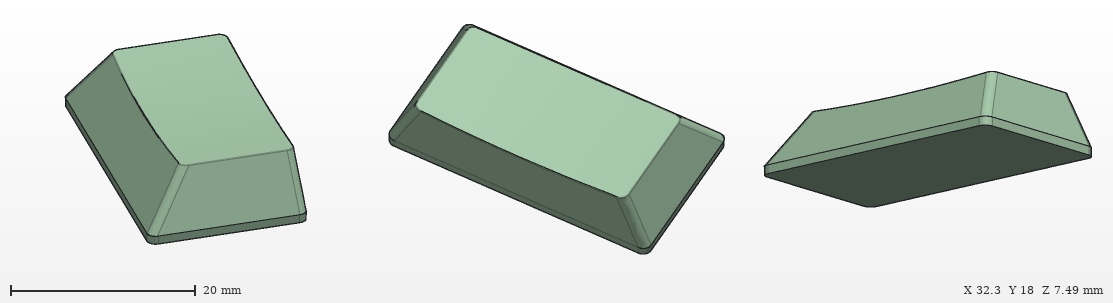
import cadquery as cq

base_length = 32.3
base_width = 18.0
skirt_height = 1.0

total_height = 7.5
side_inset = 3.05
front_inset = 4.5
back_inset = 0.55
top_length = base_length - 2 * side_inset
top_width = base_width - front_inset - back_inset
top_center_y = (front_inset - back_inset) / 2

corner_radius = 1.0
rim_radius = 0.1

dish_depth = 0.55
dish_radius = ((top_length / 2) ** 2 + dish_depth**2) / (2 * dish_depth)


def make_skirt():
    """Straight-sided base with rounded vertical corners."""
    return (
        cq.Workplane("XY")
        .rect(base_length, base_width)
        .extrude(skirt_height)
        .edges("|Z")
        .fillet(corner_radius)
    )


def make_tapered_body():
    """Body narrowing from the skirt to the top face, with rounded sloping corners."""
    return (
        cq.Workplane("XY", origin=(0, 0, skirt_height))
        .rect(base_length, base_width)
        .workplane(offset=total_height - skirt_height)
        .center(0, top_center_y)
        .rect(top_length, top_width)
        .loft()
        .edges("not(#Z)")
        .fillet(corner_radius)
    )


def make_dish():
    """Large cylinder whose lowest line lies on X = 0 below the top face."""
    return (
        cq.Workplane("XZ")
        .center(0, total_height - dish_depth + dish_radius)
        .circle(dish_radius)
        .extrude(base_width, both=True)
    )


dished_body = make_tapered_body().cut(make_dish())
softened_body = dished_body.faces(">Z").edges().fillet(rim_radius)

result = make_skirt().union(softened_body)